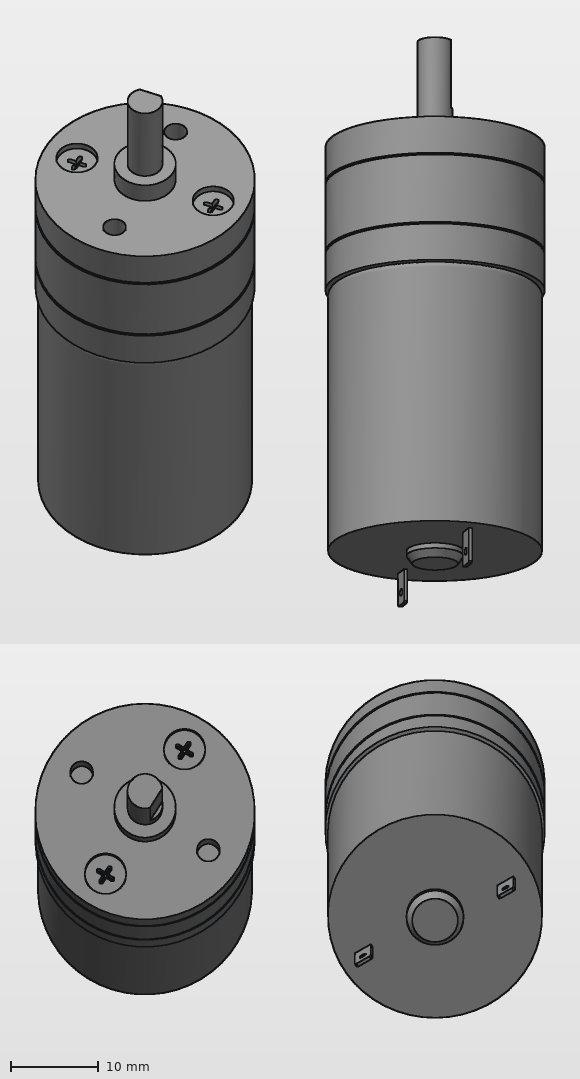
import cadquery as cq

SHAFT_TOP = 12.5
COLLAR_HEIGHT = 2.5
GEARBOX_LENGTH = 17.0
MOTOR_LENGTH = 30.9
TOTAL_HEIGHT = 64.5

GEARBOX_DIAMETER = 25.0
PLATE_THICKNESS = 4.4
GROOVE_WIDTH = 0.2
GROOVE_DEPTH = 0.1

MOTOR_DIAMETER = 24.4
MOTOR_SHOULDER_RADIUS = 0.7

COLLAR_DIAMETER = 7.0
SHAFT_DIAMETER = 4.0
FLAT_OFFSET = 1.5
FLAT_LENGTH = 8.0

HOLE_RADIUS_FROM_AXIS = 8.5
MOUNTING_HOLE_DIAMETER = 2.6
MOUNTING_HOLE_DEPTH = 3.0
SCREW_RECESS_DIAMETER = 4.7
SCREW_RECESS_DEPTH = 0.8
CROSS_LENGTH = 2.3
CROSS_WIDTH = 0.5
CROSS_DEPTH = 0.6
CROSS_TAPER = 15.0

BOSS_DIAMETER = 6.5
BOSS_HEIGHT = 1.5
BOSS_RIM_HEIGHT = 0.6
BOSS_END_DIAMETER = 5.2

TAB_X = 9.0
TAB_Y = 1.15
TAB_WIDTH = 2.1
TAB_THICKNESS = 0.4
TAB_TWIST = 3.0
TAB_CORNER_CUT = 0.2
TAB_HOLE_DIAMETER = 0.8
TAB_HOLE_DROP = 2.5
TAB_LENGTH_DIFFERENCE = 0.15
TAB_EMBED = 0.5

GEARBOX_BOTTOM = -GEARBOX_LENGTH
MOTOR_BOTTOM = GEARBOX_BOTTOM - MOTOR_LENGTH
LONG_TAB_BOTTOM = SHAFT_TOP - TOTAL_HEIGHT


def cylinder(diameter, bottom, top):
    """Cylinder on the motor axis between two heights."""
    return cq.Workplane("XY").workplane(offset=bottom).circle(diameter / 2).extrude(top - bottom)


def gearbox():
    body = cylinder(GEARBOX_DIAMETER, GEARBOX_BOTTOM, 0)
    core_diameter = GEARBOX_DIAMETER - 2 * GROOVE_DEPTH
    for center in (-PLATE_THICKNESS, GEARBOX_BOTTOM + PLATE_THICKNESS):
        bottom = center - GROOVE_WIDTH / 2
        top = center + GROOVE_WIDTH / 2
        ring = cylinder(GEARBOX_DIAMETER, bottom, top).cut(cylinder(core_diameter, bottom, top))
        body = body.cut(ring)
    return body


def motor_can():
    can = cylinder(MOTOR_DIAMETER, MOTOR_BOTTOM, GEARBOX_BOTTOM)
    return can.faces(">Z").edges().fillet(MOTOR_SHOULDER_RADIUS)


def output_shaft():
    shaft = cylinder(SHAFT_DIAMETER, 0, SHAFT_TOP)
    flat_cutter = (
        cq.Workplane("XY")
        .workplane(offset=SHAFT_TOP - FLAT_LENGTH)
        .center(0, FLAT_OFFSET + SHAFT_DIAMETER / 2)
        .rect(SHAFT_DIAMETER, SHAFT_DIAMETER)
        .extrude(FLAT_LENGTH)
    )
    return shaft.cut(flat_cutter).union(cylinder(COLLAR_DIAMETER, 0, COLLAR_HEIGHT))


def mounting_holes():
    positions = [(0, -HOLE_RADIUS_FROM_AXIS), (0, HOLE_RADIUS_FROM_AXIS)]
    return (
        cq.Workplane("XY")
        .pushPoints(positions)
        .circle(MOUNTING_HOLE_DIAMETER / 2)
        .extrude(-MOUNTING_HOLE_DEPTH)
    )


def screw_recesses():
    """Round recesses whose floors are the screw heads, each with a cross-shaped drive."""
    positions = [(-HOLE_RADIUS_FROM_AXIS, 0), (HOLE_RADIUS_FROM_AXIS, 0)]
    recess = cq.Workplane("XY").pushPoints(positions)
    recess = recess.circle(SCREW_RECESS_DIAMETER / 2).extrude(-SCREW_RECESS_DEPTH)
    for angle in (0, 90):
        slot = (
            cq.Workplane("XY")
            .workplane(offset=-SCREW_RECESS_DEPTH)
            .pushPoints(positions)
            .slot2D(CROSS_LENGTH, CROSS_WIDTH, angle)
            .extrude(-CROSS_DEPTH, taper=CROSS_TAPER)
        )
        recess = recess.union(slot)
    return recess


def rear_boss():
    """Bearing boss with a straight rim and a conical end."""
    boss = cylinder(BOSS_DIAMETER, MOTOR_BOTTOM - BOSS_HEIGHT, MOTOR_BOTTOM)
    cone_height = BOSS_HEIGHT - BOSS_RIM_HEIGHT
    cone_inset = (BOSS_DIAMETER - BOSS_END_DIAMETER) / 2
    return boss.faces("<Z").edges().chamfer(cone_height, cone_inset)


def solder_tab(x, y, bottom):
    """Flat tab with a wire hole and cut lower corners, turned slightly about its own vertical axis."""
    height = MOTOR_BOTTOM + TAB_EMBED - bottom
    tab = cq.Workplane("XY").box(TAB_WIDTH, TAB_THICKNESS, height, centered=(True, True, False))
    tab = tab.faces("<Z").edges("|Y").chamfer(TAB_CORNER_CUT)
    hole_height = MOTOR_BOTTOM - TAB_HOLE_DROP - bottom
    hole = (
        cq.Workplane("XZ")
        .center(0, hole_height)
        .circle(TAB_HOLE_DIAMETER / 2)
        .extrude(TAB_THICKNESS, both=True)
    )
    tab = tab.cut(hole).rotate((0, 0, 0), (0, 0, 1), TAB_TWIST)
    return tab.translate((x, y, bottom))


result = gearbox().union(motor_can()).union(output_shaft()).union(rear_boss())
result = result.cut(mounting_holes()).cut(screw_recesses())
result = result.union(solder_tab(TAB_X, TAB_Y, LONG_TAB_BOTTOM))
result = result.union(solder_tab(-TAB_X, -TAB_Y, LONG_TAB_BOTTOM + TAB_LENGTH_DIFFERENCE))